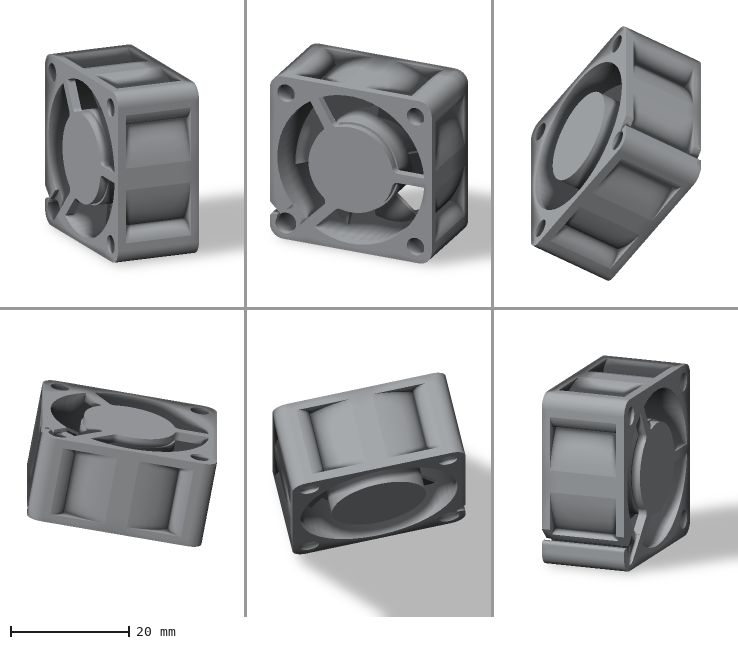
import cadquery as cq
import math

side = 30.0
depth = 15.0
half = side / 2
corner_radius = 2.4
bore_diameter = 27.24
wall = 1.5

hole_offset = 12.0
hole_diameter = 3.2
post_radius = hole_diameter / 2 + wall

shell_radius = bore_diameter / 2 + wall

lead_hole_x = -12.2
lead_hole_z = -12.2
lead_hole_diameter = 3.5
mouth_top = -8.5
mouth_inner_x = -12.92
hook_top = -10.65
hook_thickness = 1.35
hook_outer_fillet = 0.55
hook_inner_fillet = 0.25
channel_half_width = lead_hole_diameter / 2
channel_depth = 0.75
channel_start = 12.2

plate_radius = 7.85
plate_thickness = 1.5
strut_width = 1.7
strut_reach = bore_diameter / 2 + wall / 3
strut_angles = (0, 120)
lead_strut_angle = 225
lead_strut_inner = 1.7
lead_strut_width = 1.85
strut_fillet = 1.0

hub_diameter = 16.31
blade_count = 6
blade_pitch = 360 / blade_count
blade_tilt = 26.5
blade_thickness = 0.5
blade_tip_radius = 13.45
blade_root_radius = 7.0
blade_axis_depth = 5.55
leading_edge_angle = 79.4
leading_edge_offset = 0.92
trailing_edge_angle = 30.0


def front_plane(y=0.0):
    """Plane facing -Y at depth y, with local axes along X and Z."""
    return cq.Workplane("XZ", origin=(0, y, 0))


def cylinder(x, z, radius, y=0.0, length=depth):
    """Cylinder along +Y, starting at depth y."""
    return front_plane(y).center(x, z).circle(radius).extrude(-length)


def bar(angle, start, end, low, high, thickness):
    """Bar from the front face inwards, lying along a direction in the XZ plane."""
    profile = front_plane().transformed(rotate=(0, 0, angle))
    profile = profile.center((start + end) / 2, (low + high) / 2).rect(end - start, high - low)
    return profile.extrude(-thickness)


def make_side_pocket():
    """Pocket in the top side, between the wall around the bore and the right hand post."""
    block = cq.Workplane("XY").box(
        hole_offset, depth - 2 * wall, half - hole_offset, centered=False
    ).translate((0, wall, hole_offset))
    return block.cut(cylinder(0, 0, shell_radius)).cut(cylinder(hole_offset, hole_offset, post_radius))


def make_frame():
    frame = front_plane().rect(side, side).extrude(-depth).edges("|Y").fillet(corner_radius)
    frame = frame.cut(cylinder(0, 0, bore_diameter / 2))
    for x, z in ((1, 1), (1, -1), (-1, 1)):
        frame = frame.cut(cylinder(x * hole_offset, z * hole_offset, hole_diameter / 2))
    pocket = make_side_pocket()
    for turn in range(4):
        for tool in (pocket, pocket.mirror("YZ")):
            frame = frame.cut(tool.rotate((0, 0, 0), (0, 1, 0), 90 * turn))
    return frame


def cut_lead_mouth(frame):
    """Opening from the left side to the lead hole, with a round tipped hook below it."""
    hook_x = -half + hook_thickness
    hook = front_plane().moveTo(-half, lead_hole_z).lineTo(-half, hook_top).lineTo(hook_x, hook_top)
    hook = hook.lineTo(hook_x, lead_hole_z).close().extrude(-depth)
    mouth = (
        front_plane()
        .moveTo(-half, mouth_top)
        .lineTo(mouth_inner_x, mouth_top - (half + mouth_inner_x))
        .lineTo(lead_hole_x, lead_hole_z)
        .lineTo(hook_x, (lead_hole_z + hook_top) / 2)
        .lineTo(hook_x, hook_top - hook_inner_fillet)
        .radiusArc((hook_x - hook_inner_fillet, hook_top), -hook_inner_fillet)
        .lineTo(-half + hook_outer_fillet, hook_top)
        .radiusArc((-half, hook_top - hook_outer_fillet), -hook_outer_fillet)
        .close()
        .extrude(-depth)
    )
    return frame.union(hook).cut(mouth)


def cut_lead_path(body):
    """Lead hole and the shallow channel from it into the bore."""
    lead_hole = cylinder(lead_hole_x, lead_hole_z, lead_hole_diameter / 2)
    channel_end = math.hypot(lead_hole_x, lead_hole_z)
    channel = bar(
        lead_strut_angle, channel_start, channel_end, -channel_half_width, channel_half_width, channel_depth
    )
    return body.cut(lead_hole).cut(channel)


def make_stator():
    plate = cylinder(0, 0, plate_radius, length=plate_thickness)
    for angle in strut_angles:
        plate = plate.union(bar(angle, 0, strut_reach, -strut_width / 2, strut_width / 2, plate_thickness))
    lead_strut_outer = lead_strut_inner + lead_strut_width
    return plate.union(bar(lead_strut_angle, 0, strut_reach, lead_strut_inner, lead_strut_outer, plate_thickness))


def fillet_strut_roots(stator):
    """Round the corners between the plate and the struts; the strut ends lie outside the zone."""
    zone = (plate_radius + hub_diameter / 2) / 2
    root_zone = cq.selectors.BoxSelector((-zone, 0, -zone), (zone, plate_thickness, zone))
    return stator.edges("|Y").edges(root_zone).fillet(strut_fillet)


def make_blade(turn):
    """Flat blade, bounded by a leading edge, a round tip and a radial trailing edge."""
    direction = math.radians(leading_edge_angle + turn)
    tilt = math.radians(blade_tilt)
    plane = cq.Plane(
        origin=(0, blade_axis_depth, 0),
        xDir=(math.cos(direction), 0, math.sin(direction)),
        normal=(
            math.sin(tilt) * math.sin(direction),
            -math.cos(tilt),
            -math.sin(tilt) * math.cos(direction),
        ),
    )
    flat_span = math.radians(leading_edge_angle - trailing_edge_angle)
    span = math.atan2(math.sin(flat_span) / math.cos(tilt), math.cos(flat_span))
    lead_tip = math.asin(leading_edge_offset / blade_tip_radius)
    middle = (lead_tip + span) / 2

    def polar(radius, angle):
        return (radius * math.cos(angle), -radius * math.sin(angle))

    return (
        cq.Workplane(plane)
        .moveTo(blade_root_radius, -leading_edge_offset)
        .lineTo(*polar(blade_tip_radius, lead_tip))
        .threePointArc(polar(blade_tip_radius, middle), polar(blade_tip_radius, span))
        .lineTo(*polar(blade_root_radius, span))
        .close()
        .extrude(-blade_thickness)
    )


def make_rotor():
    rotor = cylinder(0, 0, hub_diameter / 2, plate_thickness, depth - plate_thickness)
    for index in range(blade_count):
        rotor = rotor.union(make_blade(index * blade_pitch))
    return rotor


frame = cut_lead_mouth(make_frame())
stator = fillet_strut_roots(make_stator())
body = frame.union(stator).union(make_rotor())
result = cut_lead_path(body)